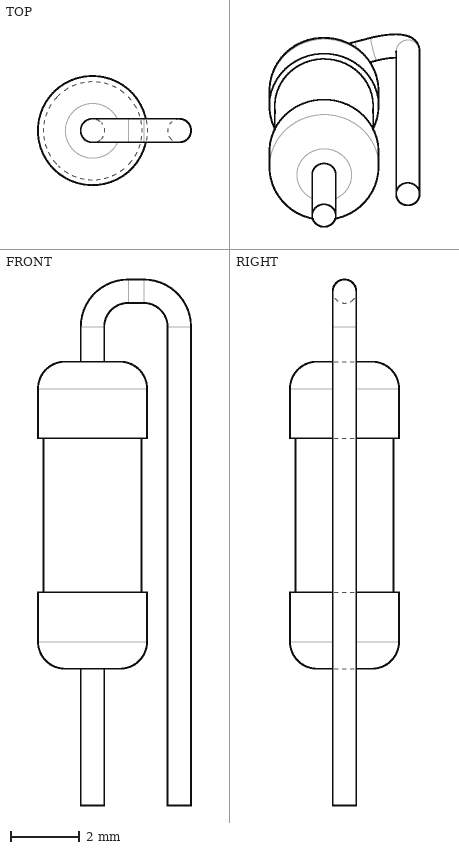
import cadquery as cq

total_height = 15.4
lead_pitch = 2.54
lead_diameter = 0.7
bend_radius = 1.5 * lead_diameter

body_bottom = 4.0
body_length = 9.0
core_diameter = 2.88
cap_diameter = 3.2
cap_length = body_length / 4
cap_rounding = cap_diameter / 4

wire_top = total_height - lead_diameter / 2
bend_start = wire_top - bend_radius
body_middle = body_bottom + body_length / 2


def make_core():
    """Slimmer cylinder running between the two end caps."""
    return (
        cq.Workplane("XY")
        .workplane(offset=body_bottom + cap_length)
        .circle(core_diameter / 2)
        .extrude(body_length - 2 * cap_length)
    )


def make_bottom_cap():
    """End cap with its outer rim rounded."""
    return (
        cq.Workplane("XY")
        .workplane(offset=body_bottom)
        .circle(cap_diameter / 2)
        .extrude(cap_length)
        .faces("<Z")
        .edges()
        .fillet(cap_rounding)
    )


def make_lead():
    """Wire up through the body, over two quarter bends and back down."""
    path = (
        cq.Workplane("XZ")
        .moveTo(0, 0)
        .lineTo(0, bend_start)
        .tangentArcPoint((bend_radius, wire_top), relative=False)
        .lineTo(lead_pitch - bend_radius, wire_top)
        .tangentArcPoint((lead_pitch, bend_start), relative=False)
        .lineTo(lead_pitch, 0)
    )
    return cq.Workplane("XY").circle(lead_diameter / 2).sweep(path)


bottom_cap = make_bottom_cap()
top_cap = bottom_cap.mirror("XY", (0, 0, body_middle))
result = make_core().union(bottom_cap).union(top_cap).union(make_lead())